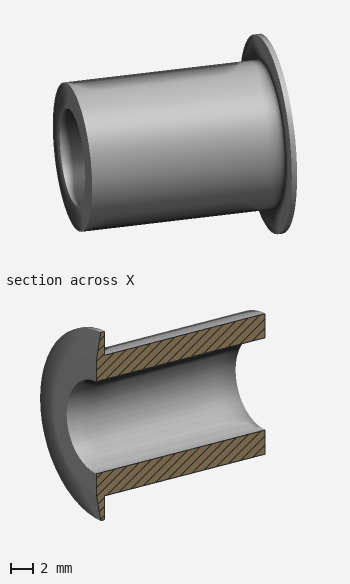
import cadquery as cq

total_length = 18.87
flange_diameter = 18.02
barrel_diameter = 13.47
bore_diameter = 8.77

flange_thickness = 0.98
rim_thickness = 0.5
end_face_diameter = 12.74

barrel_length = total_length - flange_thickness
rim_end = barrel_length + rim_thickness

half_section = (
    cq.Workplane("XY")
    .moveTo(bore_diameter / 2, 0)
    .lineTo(barrel_diameter / 2, 0)
    .lineTo(barrel_diameter / 2, barrel_length)
    .lineTo(flange_diameter / 2, barrel_length)
    .lineTo(flange_diameter / 2, rim_end)
    .lineTo(end_face_diameter / 2, total_length)
    .lineTo(bore_diameter / 2, total_length)
    .close()
)

result = half_section.revolve(360, (0, 0, 0), (0, 1, 0))